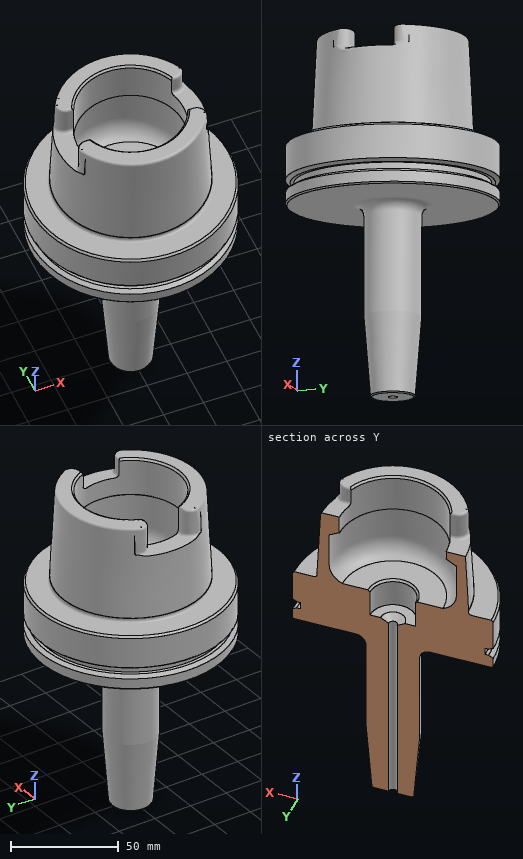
import cadquery as cq
import math


shank_height = 50.0
shank_base_diameter = 75.65
shank_taper = 0.1
rim_rounding = 1.5
relief_diameter = 75.36
relief_top = 2.5
relief_root_fillet = 1.5

flange_diameter = 100.0
flange_thickness = 29.0
flange_top_chamfer = 1.0
flange_bottom_chamfer = 0.75
groove_diameter = 92.0
groove_center_z = -20.0
groove_mouth_width = 6.0
groove_floor_width = 3.4
groove_flank_angle = 30.0

nose_length = 120.0
nose_diameter = 27.0
nose_tip_diameter = 21.0
nose_taper_angle = 4.5
nose_root_fillet = 5.0
nose_tip_chamfer = 0.6

bore_diameter = 53.0
bore_mouth_chamfer = 1.0
bore_land_end_z = 30.3
clamping_diameter = 63.0
clamping_shoulder_angle = 60.0
bore_floor_z = 0.0
bore_floor_diameter = 50.0
bore_cove_radius = 10.0

thread_diameter = 22.5
thread_mouth_diameter = 24.5
thread_depth = 15.0
coolant_cone_diameter = 12.0
coolant_hole_diameter = 4.2
coolant_cone_angle = 118.0

slot_width = 20.0
slot_depths = {-1: 15.0, 1: 10.0}
slot_corner_radius = 5.0
slot_corner_start_x = 27.0
slot_corner_sweep = 135.0
slot_floor_fillet = 2.0

arc_middle = 1 - math.sqrt(0.5)


def shank_radius(z):
    return (shank_base_diameter - shank_taper * (z - relief_top)) / 2


def make_body():
    flange_radius = flange_diameter / 2
    groove_radius = groove_diameter / 2
    groove_mouth = groove_mouth_width / 2
    groove_floor = groove_floor_width / 2
    flank_depth = (groove_mouth - groove_floor) / math.tan(math.radians(groove_flank_angle))
    flank_radius = flange_radius - flank_depth
    nose_radius = nose_diameter / 2
    tip_radius = nose_tip_diameter / 2
    nose_taper_length = (nose_radius - tip_radius) / math.tan(math.radians(nose_taper_angle))
    relief_radius = relief_diameter / 2
    relief_middle = relief_root_fillet * arc_middle
    nose_middle = nose_root_fillet * arc_middle
    return (
        cq.Workplane("XZ")
        .moveTo(0, shank_height)
        .lineTo(shank_radius(shank_height), shank_height)
        .lineTo(shank_radius(relief_top), relief_top)
        .lineTo(relief_radius, relief_top)
        .lineTo(relief_radius, relief_root_fillet)
        .threePointArc((relief_radius + relief_middle, relief_middle), (relief_radius + relief_root_fillet, 0))
        .lineTo(flange_radius - flange_top_chamfer, 0)
        .lineTo(flange_radius, -flange_top_chamfer)
        .lineTo(flange_radius, groove_center_z + groove_mouth)
        .lineTo(flank_radius, groove_center_z + groove_floor)
        .lineTo(groove_radius, groove_center_z + groove_floor)
        .lineTo(groove_radius, groove_center_z - groove_floor)
        .lineTo(flank_radius, groove_center_z - groove_floor)
        .lineTo(flange_radius, groove_center_z - groove_mouth)
        .lineTo(flange_radius, flange_bottom_chamfer - flange_thickness)
        .lineTo(flange_radius - flange_bottom_chamfer, -flange_thickness)
        .lineTo(nose_radius + nose_root_fillet, -flange_thickness)
        .threePointArc(
            (nose_radius + nose_middle, -flange_thickness - nose_middle),
            (nose_radius, -flange_thickness - nose_root_fillet),
        )
        .lineTo(nose_radius, nose_taper_length - nose_length)
        .lineTo(tip_radius, nose_tip_chamfer - nose_length)
        .lineTo(tip_radius - nose_tip_chamfer, -nose_length)
        .lineTo(0, -nose_length)
        .close()
        .revolve(360, (0, 0), (0, 1))
    )


def make_bore():
    bore_radius = bore_diameter / 2
    clamping_radius = clamping_diameter / 2
    shoulder_height = (clamping_radius - bore_radius) / math.tan(math.radians(clamping_shoulder_angle))
    floor_radius = bore_floor_diameter / 2
    cove_center_radius = clamping_radius - bore_cove_radius
    cove_height = math.sqrt(bore_cove_radius**2 - (floor_radius - cove_center_radius) ** 2)
    thread_radius = thread_diameter / 2
    thread_mouth_radius = thread_mouth_diameter / 2
    thread_floor_z = bore_floor_z - thread_depth
    cone_radius = coolant_cone_diameter / 2
    hole_radius = coolant_hole_diameter / 2
    cone_depth = (cone_radius - hole_radius) / math.tan(math.radians(coolant_cone_angle / 2))
    return (
        cq.Workplane("XZ")
        .moveTo(0, shank_height)
        .lineTo(bore_radius + bore_mouth_chamfer, shank_height)
        .lineTo(bore_radius, shank_height - bore_mouth_chamfer)
        .lineTo(bore_radius, bore_land_end_z)
        .lineTo(clamping_radius, bore_land_end_z - shoulder_height)
        .lineTo(clamping_radius, bore_floor_z + cove_height)
        .radiusArc((floor_radius, bore_floor_z), bore_cove_radius)
        .lineTo(thread_mouth_radius, bore_floor_z)
        .lineTo(thread_radius, bore_floor_z - (thread_mouth_radius - thread_radius))
        .lineTo(thread_radius, thread_floor_z)
        .lineTo(cone_radius, thread_floor_z)
        .lineTo(hole_radius, thread_floor_z - cone_depth)
        .lineTo(hole_radius, -nose_length)
        .lineTo(0, -nose_length)
        .close()
        .revolve(360, (0, 0), (0, 1))
    )


def make_slot_cutter(side, depth):
    half_width = slot_width / 2
    center_x = slot_corner_start_x
    center_y = half_width + slot_corner_radius
    sweep = math.radians(slot_corner_sweep)
    corner_x = center_x + slot_corner_radius * math.sin(sweep)
    corner_y = center_y - slot_corner_radius * math.cos(sweep)
    tip_x = center_x + slot_corner_radius
    outer_x = flange_diameter / 2
    return (
        cq.Workplane("XY", origin=(0, 0, shank_height - depth))
        .moveTo(0, -half_width)
        .lineTo(side * center_x, -half_width)
        .threePointArc((side * tip_x, -center_y), (side * corner_x, -corner_y))
        .lineTo(side * outer_x, -corner_y)
        .lineTo(side * outer_x, corner_y)
        .lineTo(side * corner_x, corner_y)
        .threePointArc((side * tip_x, center_y), (side * center_x, half_width))
        .lineTo(0, half_width)
        .close()
        .extrude(2 * depth)
        .faces("<Z")
        .edges()
        .fillet(slot_floor_fillet)
    )


def is_slot_edge(edge):
    """True unless the edge is an arc centred on the part axis."""
    if edge.geomType() != "CIRCLE":
        return True
    center = edge.arcCenter()
    return math.hypot(center.x, center.y) > slot_width / 2


body = make_body().faces(">Z").edges().fillet(rim_rounding)
body = body.cut(make_bore())
for slot_side, slot_depth in slot_depths.items():
    body = body.cut(make_slot_cutter(slot_side, slot_depth))
result = body.faces(">Z").edges().filter(is_slot_edge).fillet(rim_rounding)